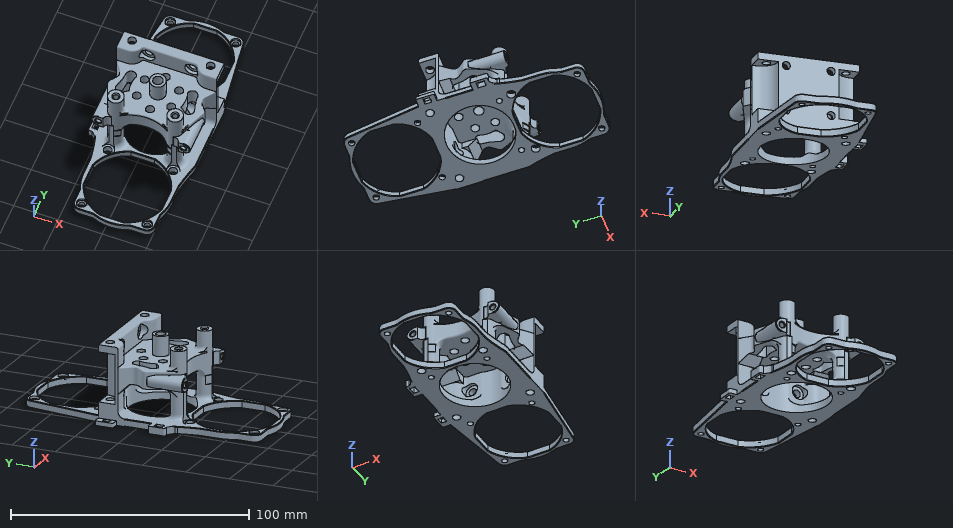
import cadquery as cq
import math

total_height = 35.0
plate_thickness = 3.5
overall_width = 48.9
plate_width = 45.3
plate_half_width = plate_width / 2
plate_edge_chamfer = 0.3
waist_rear_y = -14.3
waist_middle = (20.9, -21.2)
waist_front_y = -26.7

margin = 0.1

fan_rear_y = 36.7
fan_front_y = -34.8
fan_outer_diameter = 40.0
fan_outer_radius = fan_outer_diameter / 2
fan_hole_pitch = 29.5
fan_hole_offset = fan_hole_pitch / 2
fan_corner_radius = 3.5
fan_blend_radius = 5.0
fan_opening_width = 35.0
fan_opening_radius = 18.3
post_side_hole_y = fan_front_y + fan_hole_offset
fan_side = fan_hole_offset + fan_corner_radius
fan_screw_diameter = 2.6
fan_outer_recess_diameter = 4.3
fan_inner_recess_diameter = 3.6
fan_screw_recess_depth = 1.1
post_side_hole_diameter = 3.7

center_opening_y = -0.6
center_opening_diameter = 30.0

wall_rear_y = 18.6
wall_front_y = 13.6
wall_screw_x = 17.7
wall_screw_y = 15.3
wall_screw_diameter = 3.6
pad_radius = 5.7
pad_front_y = wall_screw_y - pad_radius
pad_blend_radius = 1.0
wall_edge_radius = 1.0
wall_base_radius = 3.0
side_pocket_bottom = 9.4
side_pocket_top = 31.6
side_pocket_front_y = 11.0
side_pocket_inner_x = 13.5
side_pocket_corner_radius = 7.5
mount_hole_pitch = 19.9
mount_hole_diameter = 3.5
mount_recess_diameter = 6.5
mount_recess_depth = 1.7
mount_hole_heights = (10.5, 30.4)

deck_bottom = 17.9
deck_top = 26.0
deck_edge_radius = 0.7
scallop_corner = (18.0, 3.3)
scallop_radius = 2.8
shoulder_corner = (22.2, -1.8)
shoulder_radius = 2.2
deck_rear_y = 14.5
post_corner = (16.6, -15.5)
deck_front_y = -16.8
deck_arch_diameter = 38.7
deck_arch_y = -32.5
arch_half_width = 10.0
arch_edge_radius = 1.0
post_notch_bottom = 11.0
post_notch_top = 15.0
post_notch_radius = 21.5
hub_diameter = 7.0
hub_hole_diameter = 4.3
ring_diameter = 17.9
ring_hole_diameter = 3.7
ring_hole_count = 6
gusset_front_y = 5.7
gusset_foot = 14.0
gusset_inner_x = 12.8

post_x = 13.4
post_y = -14.1
post_diameter = 7.0
post_radius = post_diameter / 2
post_hole_diameter = 2.5
post_countersink_diameter = 3.5
post_base_flare = 3.0
post_under_flare = 3.8
post_top_flare = 2.0
driver_groove_radius = 2.9

tube_x = 19.2
tube_z = 21.4
tube_diameter = 6.2
tube_rear_y = -3.3
tube_front_y = -19.7
tube_hole_diameter = 2.5
tube_hole_depth = 10.0
tube_hole_countersink = 0.3
tube_edge_chamfer = 0.3
web_inner_x = 13.9
web_rear_y = -12.3
web_slot_diameter = 4.3

tab_outer_x = plate_half_width - overall_width
rear_tab_front_y = 10.4
rear_tab_height = 2.1
rear_tab_slot_y = (12.7, 15.6)
front_tab_y = (-13.5, -5.7)
front_tab_slot_y = (-11.7, -8.1)
front_tab_blend_x = -24.5
front_tab_blend_middle = (-23.0, -14.8)
front_tab_root = (-22.1, -17.5)
tab_corner_radius = 0.7
tab_slot_x = (-25.2, -22.7)


def mirrored(half):
    """Join a body on the +X side with its mirror image."""
    return half.union(half.mirror("YZ"))


def vertical_cylinder(x, y, diameter, bottom, top):
    return cq.Workplane("XY", origin=(x, y, bottom)).circle(diameter / 2).extrude(top - bottom)


def block(x_range, y_range, z_range):
    return (
        cq.Workplane("XY", origin=(x_range[0], y_range[0], z_range[0]))
        .box(x_range[1] - x_range[0], y_range[1] - y_range[0], z_range[1] - z_range[0], centered=False)
    )


def polar(center, radius, angle):
    return (center[0] + radius * math.cos(angle), center[1] + radius * math.sin(angle))


def plate_half():
    """+X half of the plate outline, from the rear end round to the front end."""
    rear, front = (0, fan_rear_y), (0, fan_front_y)
    corner_rear = (fan_hole_offset, fan_rear_y + fan_hole_offset)
    corner_front = (fan_hole_offset, fan_front_y - fan_hole_offset)
    down = -math.pi / 2

    blend_reach = fan_outer_radius + fan_blend_radius
    blend_height = fan_side + fan_blend_radius
    blend_angle = math.acos(blend_height / blend_reach)
    blend_length = blend_reach * math.sin(blend_angle)
    blend_mid = blend_angle / 2

    dx = plate_half_width - corner_rear[0]
    dy = wall_rear_y - corner_rear[1]
    tangent = math.atan2(dy, dx) + math.acos(fan_corner_radius / math.hypot(dx, dy))

    def blend_rear(angle):
        return polar((blend_length, fan_rear_y + blend_height), fan_blend_radius, down - angle)

    def blend_bottom(angle):
        return polar((blend_length, fan_front_y - blend_height), fan_blend_radius, -down + angle)

    def blend_side(angle):
        return polar((blend_height, fan_front_y - blend_length), fan_blend_radius, math.pi - angle)

    return (
        cq.Workplane("XY")
        .moveTo(0, fan_rear_y + fan_outer_radius)
        .threePointArc(polar(rear, fan_outer_radius, -down - blend_mid),
                       polar(rear, fan_outer_radius, -down - blend_angle))
        .threePointArc(blend_rear(blend_mid), blend_rear(0))
        .lineTo(fan_hole_offset, fan_rear_y + fan_side)
        .threePointArc(polar(corner_rear, fan_corner_radius, (tangent - down) / 2),
                       polar(corner_rear, fan_corner_radius, tangent))
        .lineTo(plate_half_width, wall_rear_y)
        .lineTo(plate_half_width, waist_rear_y)
        .threePointArc(waist_middle, (fan_outer_radius, waist_front_y))
        .lineTo(fan_outer_radius, fan_front_y)
        .threePointArc(polar(front, fan_outer_radius, -blend_mid),
                       polar(front, fan_outer_radius, -blend_angle))
        .threePointArc(blend_side(blend_mid), blend_side(0))
        .lineTo(fan_side, corner_front[1])
        .threePointArc(polar(corner_front, fan_corner_radius, down / 2),
                       polar(corner_front, fan_corner_radius, down))
        .lineTo(blend_length, fan_front_y - fan_side)
        .threePointArc(blend_bottom(blend_mid), blend_bottom(blend_angle))
        .threePointArc(polar(front, fan_outer_radius, down + blend_mid),
                       (0, fan_front_y - fan_outer_radius))
        .close()
        .extrude(plate_thickness)
    )


def fan_opening(y):
    """Circle with four flats."""
    disc = vertical_cylinder(0, y, 2 * fan_opening_radius, 0, plate_thickness)
    square = cq.Workplane("XY", origin=(0, y, 0)).rect(fan_opening_width, fan_opening_width)
    return disc.intersect(square.extrude(plate_thickness))


def base_plate():
    plate = mirrored(plate_half())
    for y in (fan_rear_y, fan_front_y):
        plate = plate.cut(fan_opening(y))
    return plate.faces("<Z or >Z").edges().chamfer(plate_edge_chamfer)


def side_tabs():
    rear_tab = block((tab_outer_x, -plate_half_width), (rear_tab_front_y, wall_rear_y), (0, rear_tab_height))
    rear_tab = rear_tab.edges("|Z and <X").fillet(tab_corner_radius)
    rear_tab = rear_tab.cut(block(tab_slot_x, rear_tab_slot_y, (0, plate_thickness)))
    front_tab = (
        cq.Workplane("XY")
        .moveTo(front_tab_root[0], front_tab_y[1])
        .lineTo(tab_outer_x, front_tab_y[1])
        .lineTo(tab_outer_x, front_tab_y[0])
        .lineTo(front_tab_blend_x, front_tab_y[0])
        .threePointArc(front_tab_blend_middle, front_tab_root)
        .close()
        .extrude(plate_thickness)
    )
    front_tab = front_tab.edges("|Z and <X").fillet(tab_corner_radius)
    front_tab = front_tab.cut(block(tab_slot_x, front_tab_slot_y, (0, plate_thickness)))
    return rear_tab.union(front_tab)


def wall():
    """Wall with a thick rounded pad at each end."""
    blend_x = wall_screw_x - math.sqrt(
        (pad_radius + pad_blend_radius) ** 2 - (wall_screw_y - wall_front_y + pad_blend_radius) ** 2
    )
    pad_center = (wall_screw_x, wall_screw_y)
    blend_center = (blend_x, wall_front_y - pad_blend_radius)
    toward_pad = math.atan2(pad_center[1] - blend_center[1], pad_center[0] - blend_center[0])
    pad_join = toward_pad + math.pi
    half = (
        cq.Workplane("XY")
        .moveTo(0, wall_rear_y)
        .lineTo(plate_half_width, wall_rear_y)
        .lineTo(plate_half_width, pad_front_y)
        .lineTo(wall_screw_x, pad_front_y)
        .threePointArc(polar(pad_center, pad_radius, (pad_join + 1.5 * math.pi) / 2),
                       polar(pad_center, pad_radius, pad_join))
        .threePointArc(polar(blend_center, pad_blend_radius, (toward_pad + math.pi / 2) / 2),
                       (blend_x, wall_front_y))
        .lineTo(0, wall_front_y)
        .close()
        .extrude(total_height)
    )
    body = mirrored(half)
    front_top = cq.selectors.BoxSelector(
        (-plate_half_width + margin, pad_front_y - 1.1, total_height - margin),
        (plate_half_width - margin, wall_front_y + margin, total_height + margin),
    )
    return body.edges(front_top).fillet(wall_edge_radius)


def round_wall_base(body):
    """Fillet between the front of the wall and the plate, full out to the plate sides."""
    square_edge = block((-plate_half_width, plate_half_width),
                        (pad_front_y - wall_base_radius, wall_rear_y), (0, plate_thickness))
    body = body.union(square_edge)
    foot = cq.selectors.BoxSelector(
        (-plate_half_width + margin, pad_front_y - margin, plate_thickness - margin),
        (plate_half_width - margin, wall_front_y + margin, plate_thickness + margin),
    )
    return body.edges(foot).fillet(wall_base_radius)


def wall_side_pocket():
    """Pocket behind one wall end, open to the side and the rear."""
    return (
        block((side_pocket_inner_x, plate_half_width),
              (side_pocket_front_y, wall_rear_y),
              (side_pocket_bottom, side_pocket_top))
        .edges("|Z and <X and <Y").fillet(side_pocket_corner_radius)
    )


def wall_mount_hole(height):
    recess_rear = wall_front_y + mount_recess_depth
    hole_plane = cq.Workplane("XZ", origin=(mount_hole_pitch / 2, wall_rear_y, height))
    recess_plane = cq.Workplane("XZ", origin=(mount_hole_pitch / 2, recess_rear, height))
    hole = hole_plane.circle(mount_hole_diameter / 2).extrude(wall_rear_y - wall_front_y)
    recess = recess_plane.circle(mount_recess_diameter / 2).extrude(recess_rear - pad_front_y)
    return hole.union(recess)


def deck_prism(bottom, top):
    """Deck outline with a scallop in each side and an arched front."""
    half = (
        cq.Workplane("XY", origin=(0, 0, bottom))
        .moveTo(0, deck_rear_y)
        .lineTo(plate_half_width, deck_rear_y)
        .lineTo(plate_half_width, pad_front_y)
        .lineTo(*scallop_corner)
        .lineTo(*shoulder_corner)
        .lineTo(*post_corner)
        .lineTo(post_x, deck_front_y)
        .lineTo(0, deck_front_y)
        .close()
        .extrude(top - bottom)
    )
    for corner, radius in ((scallop_corner, scallop_radius), (shoulder_corner, shoulder_radius)):
        nearest = cq.selectors.NearestToPointSelector((*corner, (bottom + top) / 2))
        half = half.edges(nearest).fillet(radius)
    return mirrored(half).cut(
        vertical_cylinder(0, deck_arch_y, deck_arch_diameter, bottom, top)
    )


def arc_slot():
    """Bent slot beside the hub."""
    return (
        cq.Workplane("XY", origin=(0, 0, deck_bottom))
        .moveTo(11.6, 4.7)
        .threePointArc((13.6, 6.6), (16.2, 4.3))
        .lineTo(16.5, 1.3)
        .lineTo(17.6, -2.7)
        .threePointArc((15.8, -5.6), (13.8, -4.9))
        .lineTo(11.7, -3.2)
        .threePointArc((12.3, 0.8), (11.6, 4.7))
        .close()
        .extrude(deck_top - deck_bottom)
    )


def gusset():
    """Sloped support from the wall pad to the underside of the deck."""
    return (
        cq.Workplane("YZ", origin=(gusset_inner_x, 0, 0))
        .moveTo(gusset_front_y, deck_bottom)
        .lineTo(pad_front_y, gusset_foot)
        .lineTo(deck_rear_y, gusset_foot)
        .lineTo(deck_rear_y, deck_bottom)
        .close()
        .extrude(plate_half_width - gusset_inner_x)
        .intersect(deck_prism(gusset_foot, deck_bottom))
    )


def flare(height, size, upward):
    """Concave collar round a post, widest at the given height."""
    sign = 1 if upward else -1
    tip = height + sign * size
    sag = size * (1 - math.sqrt(0.5))
    return (
        cq.Workplane("XZ", origin=(post_x, post_y, 0))
        .moveTo(0, height)
        .lineTo(post_radius + size, height)
        .threePointArc((post_radius + sag, height + sign * sag), (post_radius, tip))
        .lineTo(0, tip)
        .close()
        .revolve(360, (0, 0, 0), (0, 1, 0))
    )


def deck():
    body = deck_prism(deck_bottom, deck_top)
    body = body.faces(">Z").edges().fillet(deck_edge_radius)
    collars = flare(deck_bottom, post_under_flare, False).union(flare(deck_top, post_top_flare, True))
    outline = deck_prism(deck_bottom - post_under_flare, deck_top + post_top_flare)
    body = body.union(mirrored(collars.intersect(outline))).union(mirrored(gusset()))
    arch_front_y = deck_arch_y + deck_arch_diameter / 2
    arch_underside = cq.selectors.BoxSelector(
        (-arch_half_width, deck_front_y, deck_bottom - post_under_flare),
        (arch_half_width, arch_front_y - margin, deck_bottom + margin),
    )
    body = body.edges(arch_underside).fillet(arch_edge_radius)
    return body.union(vertical_cylinder(0, 0, hub_diameter, deck_bottom, total_height))


def post():
    return vertical_cylinder(post_x, post_y, post_diameter, plate_thickness, total_height)


def post_notch():
    """Ring-shaped recess round the front fan that nicks both posts."""
    return vertical_cylinder(0, fan_front_y, 2 * post_notch_radius, post_notch_bottom, post_notch_top)


def screw_tube():
    """Horizontal tube along the deck side, joined to the post by a web."""
    radius = tube_diameter / 2
    tube = (
        cq.Workplane("XZ", origin=(tube_x, tube_rear_y, tube_z))
        .circle(radius)
        .extrude(tube_rear_y - tube_front_y)
        .faces("<Y").edges().chamfer(tube_edge_chamfer)
    )
    web = block((web_inner_x, tube_x), (tube_front_y, web_rear_y), (tube_z - radius, tube_z + radius))
    slot = vertical_cylinder(
        fan_hole_offset, post_side_hole_y, web_slot_diameter, tube_z - radius, tube_z + radius
    )
    return tube.union(web).cut(slot)


def tube_hole():
    """Blind hole with a countersunk mouth, as a body of revolution."""
    radius = tube_hole_diameter / 2
    return (
        cq.Workplane("XY", origin=(tube_x, tube_front_y, tube_z))
        .lineTo(radius + tube_hole_countersink, 0)
        .lineTo(radius, tube_hole_countersink)
        .lineTo(radius, tube_hole_depth)
        .lineTo(0, tube_hole_depth)
        .close()
        .revolve(360, (0, 0, 0), (0, 1, 0))
    )


def vertical_holes():
    """Holes on the +X side that run along Z."""
    holes = vertical_cylinder(wall_screw_x, wall_screw_y, wall_screw_diameter, 0, total_height)
    holes = holes.union(vertical_cylinder(post_x, post_y, post_hole_diameter, 0, total_height))
    holes = holes.union(
        cq.Workplane("XY", origin=(post_x, post_y, total_height))
        .circle(post_countersink_diameter / 2)
        .workplane(offset=-(post_countersink_diameter - post_hole_diameter) / 2)
        .circle(post_hole_diameter / 2)
        .loft()
    )
    holes = holes.union(
        vertical_cylinder(fan_hole_offset, post_side_hole_y, post_side_hole_diameter, 0, plate_thickness)
    )
    fan_screws = (
        (fan_rear_y + fan_hole_offset, fan_outer_recess_diameter),
        (fan_rear_y - fan_hole_offset, fan_inner_recess_diameter),
        (fan_front_y - fan_hole_offset, fan_outer_recess_diameter),
    )
    for y, recess_diameter in fan_screws:
        holes = holes.union(vertical_cylinder(fan_hole_offset, y, fan_screw_diameter, 0, plate_thickness))
        holes = holes.union(
            vertical_cylinder(fan_hole_offset, y, recess_diameter,
                              plate_thickness - fan_screw_recess_depth, plate_thickness)
        )
    return holes


body = round_wall_base(base_plate().union(wall()))
body = body.union(mirrored(flare(plate_thickness, post_base_flare, True)))
body = body.cut(vertical_cylinder(0, center_opening_y, center_opening_diameter, 0, deck_bottom))
body = body.cut(fan_opening(fan_front_y).translate((0, 0, plate_thickness)))
body = body.union(mirrored(post())).union(deck()).cut(post_notch())

groove = vertical_cylinder(
    fan_hole_offset, post_side_hole_y, 2 * driver_groove_radius,
    plate_thickness, tube_z - tube_diameter / 2,
)
body = body.cut(mirrored(groove))
body = body.union(mirrored(screw_tube())).union(side_tabs())

for mount_height in mount_hole_heights:
    body = body.cut(mirrored(wall_mount_hole(mount_height)))
for half_cut in (wall_side_pocket(), arc_slot(), tube_hole(), vertical_holes()):
    body = body.cut(mirrored(half_cut))

body = body.cut(vertical_cylinder(0, 0, hub_hole_diameter, deck_bottom, total_height))
for index in range(ring_hole_count):
    x, y = polar((0, 0), ring_diameter / 2, math.pi / 2 + index * 2 * math.pi / ring_hole_count)
    body = body.cut(vertical_cylinder(x, y, ring_hole_diameter, deck_bottom, deck_top))

result = body